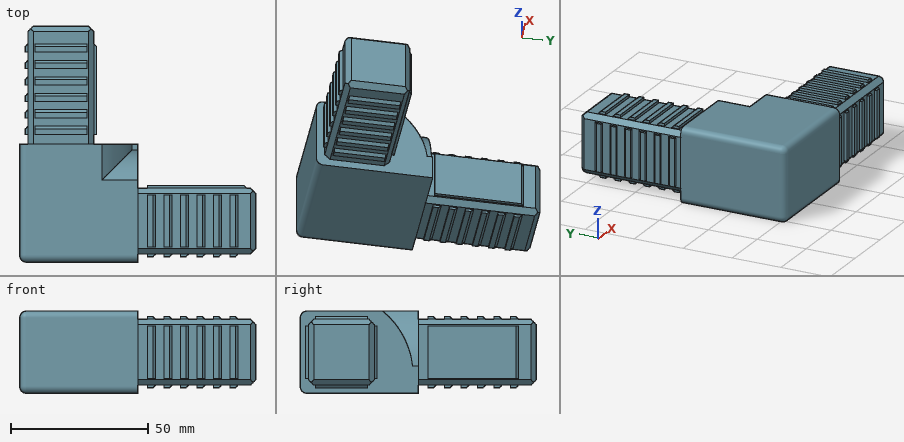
import cadquery as cq

overall = 86.0
tube = 30.0
elbow = overall / 2
outer_fillet = 2.5

middle = tube / 2
plug = 24.0
plug_chamfer = 2.0

rib_count = 6
rib_span = 30.0
rib_offset = 3.5
rib_crest = 2.0
rib_height = 1.0
rib_width = 19.0

pad_crest_y = rib_span + rib_crest
pad_extra_x = 3.1
pad_crest_x = pad_crest_y + pad_extra_x

ledge = 2.1
ledge_height = tube / 3
wall_radius = tube


def elbow_block():
    block = cq.Workplane("XY").box(elbow, elbow, tube, centered=False)
    outer_edges = block.edges("(<X and <Y) or (<X and (<Z or >Z)) or (<Y and (<Z or >Z))")
    return outer_edges.fillet(outer_fillet)


def across_diagonal(shape):
    """Turn a shape half a turn about the plan diagonal at mid height, swapping X and Y."""
    return shape.rotate((0, 0, middle), (0.9, 0.9, middle), 180)


def corner_cutter():
    """Overlap of two channels, one along each leg, open at the top and the far sides."""
    curve_end = elbow - ledge

    def channel(plane, length):
        return (
            cq.Workplane(plane)
            .moveTo(tube, tube)
            .radiusArc((curve_end, ledge_height), wall_radius)
            .lineTo(elbow, ledge_height)
            .lineTo(elbow, tube)
            .close()
            .extrude(length)
        )

    return channel("XZ", -elbow).intersect(channel("YZ", elbow))


def plug_body():
    """Square bar along +X with mitred chamfers on its long edges and its tip."""
    bar = cq.Workplane("XY").box(elbow, plug, plug).translate((elbow * 1.5, middle, middle))
    body = bar
    for edges in ("|X", ">X and |Y", ">X and |Z"):
        body = body.intersect(bar.edges(edges).chamfer(plug_chamfer))
    return body


def rib(start, crest):
    """Rib on the +Z face of the X arm, sunk into the plug by its own height."""
    face = middle + plug / 2
    top = face + rib_height
    root = face - rib_height
    foot_end = start + crest + rib_height
    return (
        cq.Workplane("XZ", origin=(0, middle, 0))
        .polyline([(start, root), (start, top), (start + crest, top), (foot_end, face), (foot_end, root)])
        .close()
        .extrude(rib_width / 2, both=True)
    )


def plug_arm(pad_crest):
    """Arm along +X: ribs on the +Z, -Y and -Z faces, a pad on the inner +Y face."""
    first = elbow + rib_offset
    pitch = rib_span / (rib_count - 1)

    def on_face(shape, quarter_turns):
        return shape.rotate((0, middle, middle), (1, middle, middle), 90 * quarter_turns)

    arm = plug_body().union(on_face(rib(first, pad_crest), 3))
    for quarter_turns in range(3):
        for index in range(rib_count):
            arm = arm.union(on_face(rib(first + index * pitch, rib_crest), quarter_turns))
    return arm


arm_x = plug_arm(pad_crest_x)
arm_y = across_diagonal(plug_arm(pad_crest_y))
result = elbow_block().cut(corner_cutter()).union(arm_x).union(arm_y)